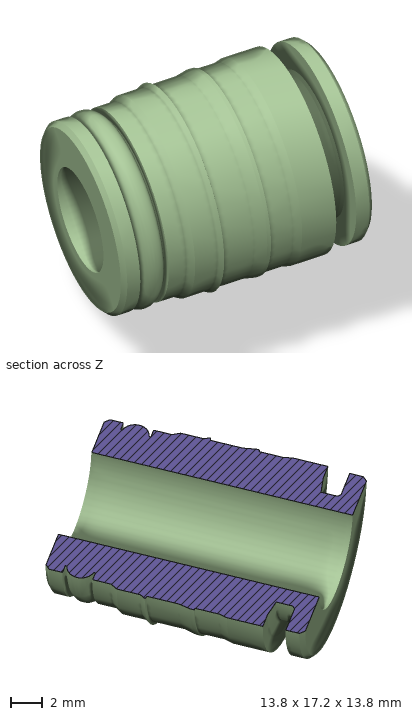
import cadquery as cq
import math

length = 17.2
bore_radius = 3.5
chamfer = 0.31

flange_radius = 6.75
flange_front = 15.98
neck_radius = 4.73
neck_rear = 15.8
neck_front = 14.74
neck_chamfer = flange_front - neck_rear
shoulder_radius = 5.85

band_radius = 6.88
band_rear = 14.53
band_front = 12.18
relief_rear = 11.63
relief_radius = flange_radius

collar_rear = 10.03
collar_front = 9.77
collar_taper_end = 8.95
body_radius = 6.7

barb_radius = 13.85 / 2
barb_root_rear = 6.85
barb_tip = 6.78
barb_root_front = 6.4

body_front = 4.87
nose_rear = 4.39
nose_radius = 6.43
groove_rear = 3.16
groove_front = 1.2
groove_radius = 5.85

seal_section_radius = 0.91
seal_outer_radius = 6.55
seal_center_radius = seal_outer_radius - seal_section_radius
seal_center = (groove_rear + groove_front) / 2
seal_half_width = math.sqrt(seal_section_radius**2 - (groove_radius - seal_center_radius) ** 2)


def make_body():
    """Revolve the stepped outer profile, seal ring included, and the plain bore about Y."""
    profile = (
        cq.Workplane("XY")
        .moveTo(bore_radius, 0)
        .lineTo(nose_radius - chamfer, 0)
        .lineTo(nose_radius, chamfer)
        .lineTo(nose_radius, groove_front)
        .lineTo(groove_radius, groove_front)
        .lineTo(groove_radius, seal_center - seal_half_width)
        .threePointArc((seal_outer_radius, seal_center), (groove_radius, seal_center + seal_half_width))
        .lineTo(groove_radius, groove_rear)
        .lineTo(nose_radius, groove_rear)
        .lineTo(nose_radius, nose_rear)
        .lineTo(body_radius, body_front)
        .lineTo(body_radius, barb_root_front)
        .lineTo(barb_radius, barb_tip)
        .lineTo(body_radius, barb_root_rear)
        .lineTo(body_radius, collar_taper_end)
        .lineTo(band_radius, collar_front)
        .lineTo(band_radius, collar_rear)
        .lineTo(relief_radius, collar_rear)
        .lineTo(relief_radius, relief_rear)
        .lineTo(band_radius, band_front)
        .lineTo(band_radius, band_rear)
        .lineTo(shoulder_radius, band_rear)
        .lineTo(neck_radius, neck_front)
        .lineTo(neck_radius, neck_rear)
        .lineTo(neck_radius + neck_chamfer, flange_front)
        .lineTo(flange_radius, flange_front)
        .lineTo(flange_radius, length - chamfer)
        .lineTo(flange_radius - chamfer, length)
        .lineTo(bore_radius, length)
        .close()
    )
    return profile.revolve(360, (0, 0, 0), (0, 1, 0))


result = make_body()